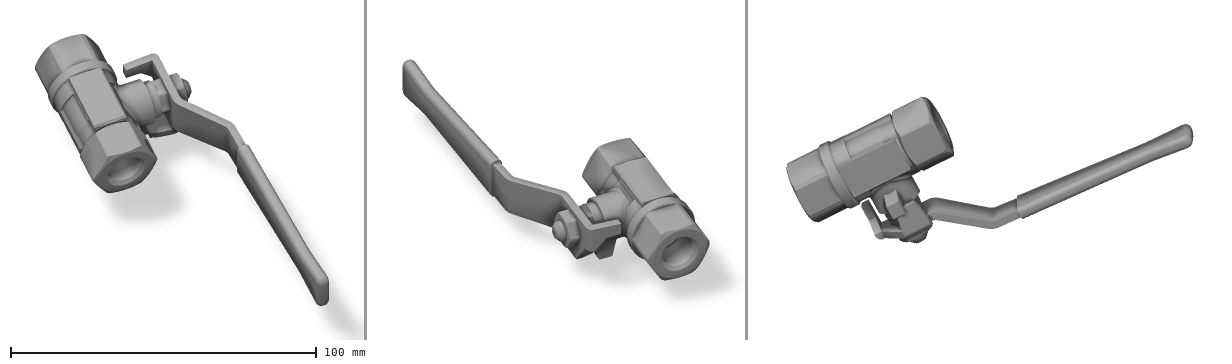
import cadquery as cq
import math


body_length = 51.6
hex_flats = 20.2
inlet_length = 12.6
inlet_corner_radius = 11.2
outlet_start = 38.7
outlet_corner_radius = 11.5
hex_face_radius = 9.6
hex_chamfer_length = 0.9
shoulder_chamfer_length = 1.2
ring_end = 16.3
ring_radius = 11.6
ring_chamfer = 0.4
barrel_radius = 10.9
pad_start = 16.8
pad_half_width = 5.8
upper_pad_end = 38.6
upper_pad_height = 11.2
upper_pad_chamfer = 0.6
lower_pad_end = 37.8
lower_pad_height = 10.9

recess_start = 21.7
recess_slope_start = 33.4
recess_slope_end = 34.3
recess_overcut = 0.1
shallow_floor_radius = 10.1
shallow_floor_angles = (12.7, 52.4)
shallow_rim_angles = (7.2, 57.8)
deep_floor_radius = 9.9
deep_floor_angles = (15.0, 57.0)
deep_rim_angles = (7.2, 62.0)

port_radius = 5.0
thread_radius = 5.7
thread_depth = 11.1
mouth_radius = 6.8

stem_x = 27.5
stem_root = 7.4
boss_radius = 7.6
boss_top = 17.1
boss_foot_radius = 0.9
gland_radius = 6.3
gland_top = 20.1
nut_flats = 11.0
nut_corner_radius = 6.2
nut_top = 29.6
nut_chamfer = 0.5
stem_radius = 3.5
stem_tip_radius = 2.1
stem_chamfer_start = 31.0
stem_top = 32.3

tab_width = 4.5
tab_root_z = -6.2
tab_tip_z = -14.9
tab_root_y = 10.4
tab_tip_y = 12.5

strip = 2.6
plate_bottom = 23.3
plate_top = plate_bottom + strip
plate_middle = plate_bottom + strip / 2
hook_left = 15.2
hook_right = hook_left + strip
hook_tip_y = 14.1
hook_tip_upper_z = 6.4
hook_tip_lower_z = 2.2
hook_shoulder_y = 19.2
hook_root_z = -1.7
first_bend_x = 36.4
second_bend = (51.8, 36.9)
bend_inner_radius = 3.1
hook_inner_radius = 0.2
hook_outer_radius = 2.1
lever_half_width = 7.4
lever_neck_half_width = 6.3

finger_outer_z = -12.1
finger_corner_x = 25.4
finger_right = 34.9
finger_fold_radius = 1.2
finger_left = stem_x + tab_width / 2
finger_knee_left = 26.2
finger_knee_right = 34.3
finger_knee_y = 19.0
finger_notch_y = 17.3
finger_tip_y = 16.0
finger_tip_right = 33.4

grip_start_x = 61.4
grip_end_x = 123.4
grip_tilt = math.radians(3.1)
grip_thickness = 4.3
grip_half_width = 7.4
grip_waist_half_width = 5.4
grip_end_half_width = 7.6
grip_waist = 46.4
grip_end_bow = 0.6
grip_corner_radius = 2.5
grip_waist_radius = 14.8
grip_edge_radius = 1.9


def along_bore(radius, start, end):
    return cq.Workplane("YZ", origin=(start, 0, 0)).circle(radius).extrude(end - start)


def along_stem(radius, start, end):
    return cq.Workplane("XZ", origin=(stem_x, start, 0)).circle(radius).extrude(start - end)


def hex_prism(workplane, flats, length):
    return workplane.polygon(6, flats / math.cos(math.pi / 6)).extrude(length)


def make_inlet():
    prism = hex_prism(cq.Workplane("YZ"), hex_flats, inlet_length)
    turned = along_bore(inlet_corner_radius, 0, inlet_length)
    turned = turned.faces("<X").chamfer(hex_chamfer_length, inlet_corner_radius - hex_face_radius)
    return prism.intersect(turned)


def make_outlet():
    length = body_length - outlet_start
    prism = hex_prism(cq.Workplane("YZ", origin=(outlet_start, 0, 0)), hex_flats, length)
    turned = along_bore(outlet_corner_radius, outlet_start, body_length)
    turned = turned.faces(">X").chamfer(hex_chamfer_length, outlet_corner_radius - hex_face_radius)
    turned = turned.faces("<X").chamfer(shoulder_chamfer_length, outlet_corner_radius - hex_face_radius)
    return prism.intersect(turned)


def polar(radius, degrees):
    angle = math.radians(degrees)
    return (radius * math.cos(angle), radius * math.sin(angle))


def recess_outline(workplane, floor_radius, floor_angles, rim_angles):
    """Cross-section of one recess between a flat pad and the side rib."""
    rim_radius = barrel_radius + recess_overcut
    rim_low, rim_high = rim_angles
    floor_low, floor_high = floor_angles
    rim_middle = (rim_low + rim_high) / 2
    floor_middle = (floor_low + floor_high) / 2
    return (
        workplane
        .moveTo(*polar(rim_radius, rim_low))
        .lineTo(*polar(floor_radius, floor_low))
        .threePointArc(polar(floor_radius, floor_middle), polar(floor_radius, floor_high))
        .lineTo(*polar(rim_radius, rim_high))
        .threePointArc(polar(rim_radius, rim_middle), polar(rim_radius, rim_low))
        .close()
    )


def make_recess():
    """Cutter for one recess: a shallow stretch that slopes down to a deeper one."""
    shallow = (shallow_floor_radius, shallow_floor_angles, shallow_rim_angles)
    deep = (deep_floor_radius, deep_floor_angles, deep_rim_angles)
    shallow_part = recess_outline(cq.Workplane("YZ", origin=(recess_start, 0, 0)), *shallow)
    shallow_part = shallow_part.extrude(recess_slope_start - recess_start)
    slope = recess_outline(cq.Workplane("YZ", origin=(recess_slope_start, 0, 0)), *shallow)
    slope = slope.workplane(offset=recess_slope_end - recess_slope_start)
    slope = recess_outline(slope, *deep).loft(ruled=True)
    deep_part = recess_outline(cq.Workplane("YZ", origin=(recess_slope_end, 0, 0)), *deep)
    deep_part = deep_part.extrude(outlet_start - recess_slope_end)
    return shallow_part.union(slope).union(deep_part)


def make_barrel():
    barrel = along_bore(barrel_radius, ring_end, outlet_start)
    recess = make_recess()
    side_recesses = recess.union(recess.mirror("XY"))
    barrel = barrel.cut(side_recesses).cut(side_recesses.mirror("XZ"))
    upper_pad = cq.Workplane("XY", origin=(pad_start, 0, 0)).box(
        upper_pad_end - pad_start, 2 * pad_half_width, upper_pad_height, centered=(False, True, False)
    )
    upper_pad = upper_pad.faces(">Z").edges(">X or >Y").chamfer(upper_pad_chamfer)
    lower_pad = cq.Workplane("XY", origin=(pad_start, 0, -lower_pad_height)).box(
        lower_pad_end - pad_start, 2 * pad_half_width, lower_pad_height, centered=(False, True, False)
    )
    return barrel.union(upper_pad).union(lower_pad)


def make_boss():
    """Stem boss with a rounded foot where it meets the barrel."""
    barrel = along_bore(barrel_radius, ring_end, outlet_start)
    footed = barrel.union(along_stem(boss_radius, 0, boss_top))
    footed = footed.edges("%BSPLINE").fillet(boss_foot_radius)
    return footed.intersect(along_stem(boss_radius + boss_foot_radius, stem_root, boss_top))


def make_body():
    ring = along_bore(ring_radius, inlet_length, ring_end).edges().chamfer(ring_chamfer)
    return (
        make_barrel()
        .union(make_boss())
        .union(make_inlet())
        .union(make_outlet())
        .union(ring)
    )


def make_bore():
    bore = along_bore(port_radius, 0, body_length)
    mouth_depth = mouth_radius - thread_radius
    half_thread = (
        cq.Workplane("XY")
        .polyline([
            (0, 0),
            (0, mouth_radius),
            (mouth_depth, thread_radius),
            (thread_depth, thread_radius),
            (thread_depth, 0),
        ])
        .close()
        .revolve(360, (0, 0), (1, 0))
    )
    opposite_thread = half_thread.mirror("YZ").translate((body_length, 0, 0))
    return bore.union(half_thread).union(opposite_thread)


def make_stem():
    nut_plane = cq.Workplane("XZ", origin=(stem_x, gland_top, 0))
    nut = hex_prism(nut_plane, nut_flats, gland_top - nut_top)
    nut_turned = along_stem(nut_corner_radius, gland_top, nut_top).faces(">Y").chamfer(nut_chamfer)
    rod = (
        along_stem(stem_radius, nut_top, stem_top)
        .faces(">Y")
        .chamfer(stem_top - stem_chamfer_start, stem_radius - stem_tip_radius)
    )
    return along_stem(gland_radius, boss_top, gland_top).union(nut.intersect(nut_turned)).union(rod)


def make_tab():
    return (
        cq.Workplane("YZ", origin=(stem_x - tab_width / 2, 0, 0))
        .polyline([
            (tab_root_y, tab_root_z),
            (boss_top, tab_root_z),
            (boss_top, tab_tip_z),
            (tab_tip_y, tab_tip_z),
        ])
        .close()
        .extrude(tab_width)
    )


def offset_path(points, distance):
    """Shift an open path sideways to its left, with mitred corners."""
    normals = []
    for (x0, y0), (x1, y1) in zip(points, points[1:]):
        length = math.hypot(x1 - x0, y1 - y0)
        normals.append(((y0 - y1) / length, (x1 - x0) / length))
    before = normals[:1] + normals
    after = normals + normals[-1:]
    shifted = []
    for (x, y), (ax, ay), (bx, by) in zip(points, before, after):
        reach = distance / (1 + ax * bx + ay * by)
        shifted.append((x + reach * (ax + bx), y + reach * (ay + by)))
    return shifted


def on_grip_axis(x):
    return (x, second_bend[1] + (x - second_bend[0]) * math.tan(grip_tilt))


def bent_strip():
    """Side shape of the lever, far wider than the lever itself."""
    middle = [
        (hook_left + strip / 2, hook_tip_y),
        (hook_left + strip / 2, plate_middle),
        (first_bend_x, plate_middle),
        second_bend,
        on_grip_axis(grip_start_x + grip_edge_radius),
    ]
    upper = offset_path(middle, strip / 2)
    lower = offset_path(middle, -strip / 2)
    bent = cq.Workplane("XY").polyline(upper + lower[::-1]).close().extrude(-finger_outer_z, both=True)
    bend_outer_radius = bend_inner_radius + strip
    rounded_corners = [
        (upper[1], hook_outer_radius),
        (lower[1], hook_inner_radius),
        (upper[2], bend_inner_radius),
        (lower[2], bend_outer_radius),
        (upper[3], bend_outer_radius),
        (lower[3], bend_inner_radius),
    ]
    for (x, y), radius in rounded_corners:
        bent = bent.edges(cq.NearestToPointSelector((x, y, 0))).fillet(radius)
    return bent


def make_lever():
    plan = (
        cq.Workplane("XZ")
        .polyline([
            (hook_left, lever_half_width),
            (first_bend_x, lever_half_width),
            (grip_start_x, lever_neck_half_width),
            (grip_end_x, lever_neck_half_width),
            (grip_end_x, -lever_neck_half_width),
            (grip_start_x, -lever_neck_half_width),
            (first_bend_x, -lever_half_width),
            (finger_right, -lever_half_width),
            (finger_right, finger_outer_z),
            (finger_corner_x, finger_outer_z),
            (hook_right, hook_root_z),
            (hook_left, hook_root_z),
        ])
        .close()
        .extrude(-grip_end_x)
    )
    lever = bent_strip().intersect(plan)
    lever = lever.edges(
        cq.NearestToPointSelector(((finger_corner_x + finger_right) / 2, plate_top, finger_outer_z))
    ).fillet(finger_fold_radius)
    hook_shape = (
        cq.Workplane("YZ", origin=(hook_left, 0, 0))
        .polyline([
            (plate_top, lever_half_width),
            (hook_tip_y, hook_tip_upper_z),
            (hook_tip_y, hook_tip_lower_z),
            (hook_shoulder_y, hook_tip_lower_z),
            (plate_bottom, hook_root_z),
            (plate_top, hook_root_z),
        ])
        .close()
        .extrude(strip)
    )
    hook_space = cq.Workplane("XY").box(
        strip, plate_top, -2 * finger_outer_z, centered=(False, False, True)
    ).translate((hook_left, 0, 0))
    lever = lever.cut(hook_space.cut(hook_shape))
    finger = (
        cq.Workplane("XY", origin=(0, 0, finger_outer_z))
        .polyline([
            (finger_corner_x, plate_bottom),
            (finger_knee_left, finger_knee_y),
            (finger_left, finger_notch_y),
            (finger_left, finger_tip_y),
            (finger_tip_right, finger_tip_y),
            (finger_knee_right, finger_knee_y),
            (finger_right, plate_bottom),
        ])
        .close()
        .extrude(strip)
    )
    return lever.union(finger)


def make_grip():
    """Waisted sleeve with rounded long edges and a rounded free end."""
    start_x, start_y = on_grip_axis(grip_start_x)
    length = (grip_end_x - grip_start_x) / math.cos(grip_tilt)
    square_end = length - grip_end_bow
    axis = (math.cos(grip_tilt), math.sin(grip_tilt), 0)
    across = (math.sin(grip_tilt), -math.cos(grip_tilt), 0)
    grip = (
        cq.Workplane(cq.Plane(origin=(start_x, start_y, 0), xDir=axis, normal=across))
        .moveTo(0, grip_half_width)
        .lineTo(grip_waist, grip_waist_half_width)
        .lineTo(square_end, grip_end_half_width)
        .threePointArc((length - grip_end_bow / 4, grip_end_half_width / 2), (length, 0))
        .lineTo(0, 0)
        .close()
        .extrude(grip_thickness / 2, both=True)
    )
    grip = grip.union(grip.mirror("XY"))
    for distance, half_width, radius in (
        (grip_waist, grip_waist_half_width, grip_waist_radius),
        (square_end, grip_end_half_width, grip_corner_radius),
    ):
        x, y = on_grip_axis(grip_start_x + distance * math.cos(grip_tilt))
        for side in (-1, 1):
            corner = cq.NearestToPointSelector((x, y, side * half_width))
            grip = grip.edges(corner).fillet(radius)
    long_edges = grip.faces(cq.ParallelDirSelector(cq.Vector(*across))).edges("not |Z")
    return long_edges.fillet(grip_edge_radius)


result = (
    make_body()
    .cut(make_bore())
    .union(make_stem())
    .union(make_tab())
    .union(make_lever())
    .union(make_grip())
)